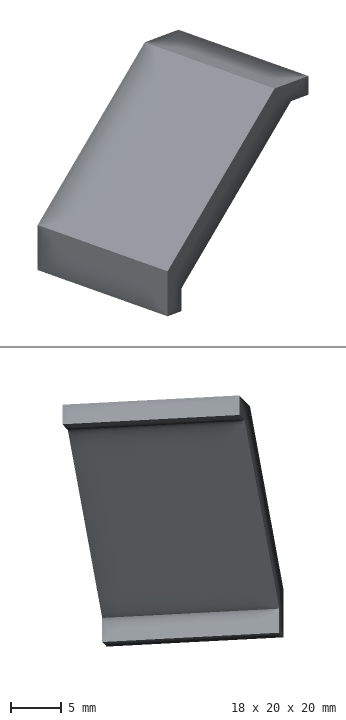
import cadquery as cq

width = 18.0
side = 20.0
thickness = 2.0
outer_flange = 4.8
inner_flange = 2.45

profile = [
    (0, 0),
    (thickness, 0),
    (thickness, inner_flange),
    (side - inner_flange, side - thickness),
    (side, side - thickness),
    (side, side),
    (side - outer_flange, side),
    (0, outer_flange),
]

result = (
    cq.Workplane("YZ")
    .polyline(profile)
    .close()
    .extrude(width)
    .translate((-width / 2, -side / 2, -side / 2))
)